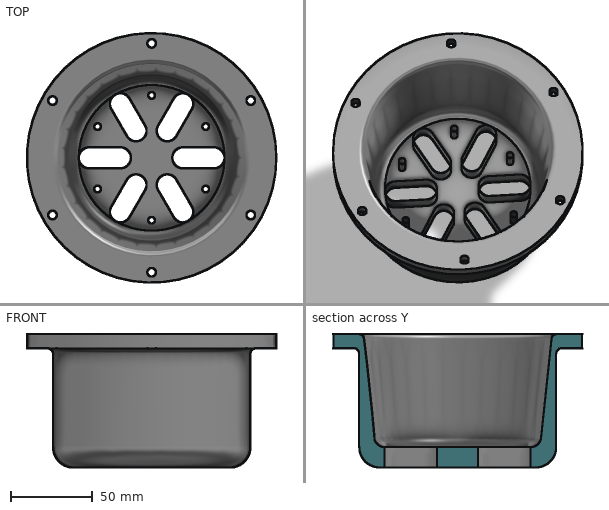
import cadquery as cq
import math

flange_diameter = 152.4
flange_thickness = 8.89
body_diameter = 120.65
total_height = 81.66
floor_thickness = 12.7

body_bottom_fillet = 12.7
neck_fillet = 3.175
lip_fillet = 3.175
floor_fillet = 6.35
floor_flat_radius = 44.45

spoke_count = 6
bolt_hole_diameter = 5.11
bolt_circle_radius = 69.85
floor_hole_diameter = 3.96
floor_hole_circle_radius = 38.1
slot_width = 12.7
slot_inner_reach = 12.7
slot_outer_reach = floor_flat_radius

flange_radius = flange_diameter / 2
body_radius = body_diameter / 2
flange_bottom = total_height - flange_thickness
spoke_step = 360 / spoke_count


def point_on_circle(center, radius, angle):
    """Point at an angle (radians, from the radial axis) on a profile circle."""
    return (center[0] + radius * math.cos(angle), center[1] + radius * math.sin(angle))


def make_flanged_body():
    """Solid flange and cup, revolved about Z, with neck and bottom fillets."""
    bottom_center = (body_radius - body_bottom_fillet, body_bottom_fillet)
    neck_center = (body_radius + neck_fillet, flange_bottom - neck_fillet)
    profile = (
        cq.Workplane("XZ")
        .moveTo(0, 0)
        .lineTo(bottom_center[0], 0)
        .threePointArc(
            point_on_circle(bottom_center, body_bottom_fillet, math.radians(-45)),
            (body_radius, bottom_center[1]),
        )
        .lineTo(body_radius, neck_center[1])
        .threePointArc(
            point_on_circle(neck_center, neck_fillet, math.radians(135)),
            (neck_center[0], flange_bottom),
        )
        .lineTo(flange_radius, flange_bottom)
        .lineTo(flange_radius, total_height)
        .lineTo(0, total_height)
        .close()
    )
    return profile.revolve(360, (0, 0, 0), (0, 1, 0))


def make_cavity():
    """Tapered cavity whose wall is tangent to the lip round and the floor fillet."""
    lip_center = (body_radius, total_height - lip_fillet)
    floor_center = (floor_flat_radius, floor_thickness + floor_fillet)

    center_run = lip_center[0] - floor_center[0]
    center_rise = lip_center[1] - floor_center[1]
    center_tilt = math.atan2(center_run, center_rise)
    tangent_turn = math.asin((lip_fillet + floor_fillet) / math.hypot(center_run, center_rise))
    draft = center_tilt - tangent_turn

    floor_end = -draft
    floor_middle = (floor_end - math.pi / 2) / 2
    lip_start = math.pi - draft
    lip_middle = (lip_start + math.pi / 2) / 2

    profile = (
        cq.Workplane("XZ")
        .moveTo(0, floor_thickness)
        .lineTo(floor_flat_radius, floor_thickness)
        .threePointArc(
            point_on_circle(floor_center, floor_fillet, floor_middle),
            point_on_circle(floor_center, floor_fillet, floor_end),
        )
        .lineTo(*point_on_circle(lip_center, lip_fillet, lip_start))
        .threePointArc(
            point_on_circle(lip_center, lip_fillet, lip_middle),
            (body_radius, total_height),
        )
        .lineTo(0, total_height)
        .close()
    )
    return profile.revolve(360, (0, 0, 0), (0, 1, 0))


def make_hole_ring(diameter, circle_radius):
    """Six full-height cylinders on a circle, the first one on the +Y axis."""
    return (
        cq.Workplane("XY")
        .polarArray(circle_radius, 90, 360, spoke_count)
        .circle(diameter / 2)
        .extrude(total_height)
    )


def make_slot(angle):
    """Radial slot through the floor at an angle (degrees) from +X."""
    slot_length = slot_outer_reach - slot_inner_reach
    slot_middle = (slot_outer_reach + slot_inner_reach) / 2
    return (
        cq.Workplane("XY")
        .center(slot_middle, 0)
        .slot2D(slot_length, slot_width)
        .extrude(total_height)
        .rotate((0, 0, 0), (0, 0, 1), angle)
    )


result = make_flanged_body().cut(make_cavity())
result = result.cut(make_hole_ring(bolt_hole_diameter, bolt_circle_radius))
result = result.cut(make_hole_ring(floor_hole_diameter, floor_hole_circle_radius))
for spoke in range(spoke_count):
    result = result.cut(make_slot(spoke * spoke_step))